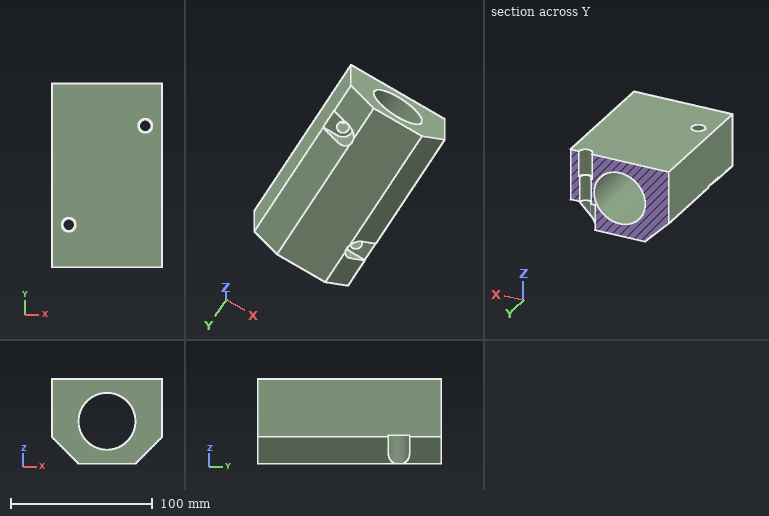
import cadquery as cq
import math

width = 78.0
length = 130.0
height = 60.0
lower_chamfer = 19.0
bore_diameter = 40.0

bolt_x = 27.0
bolt_y = 35.0
bolt_diameter = 8.6
thread_diameter = 10.0
thread_depth = 20.0
recess_width = 15.0
recess_depth = 20.0

top = height / 2
bottom = -height / 2


def vertical_cylinder(x, y, base, diameter, depth):
    """Cylinder rising from the level base."""
    return cq.Workplane("XY", origin=(x, y, base)).circle(diameter / 2).extrude(depth)


def bolt_hole(x, y):
    """Through hole, wider at the top, with a head recess below that is open to the nearest side."""
    shank = vertical_cylinder(x, y, bottom, bolt_diameter, height)
    thread = vertical_cylinder(x, y, top - thread_depth, thread_diameter, thread_depth)
    recess = vertical_cylinder(x, y, bottom, recess_width, recess_depth)
    side_x = math.copysign(width / 2, x)
    opening = (
        cq.Workplane("XY", origin=((x + side_x) / 2, y, bottom))
        .rect(abs(side_x - x), recess_width)
        .extrude(recess_depth)
    )
    return shank.union(thread).union(recess).union(opening)


block = cq.Workplane("XY").box(width, length, height)
block = block.edges("|Y and <Z").chamfer(lower_chamfer)
result = block.faces("<Y").workplane(centerOption="CenterOfBoundBox").hole(bore_diameter)

for side in (-1, 1):
    result = result.cut(bolt_hole(side * bolt_x, side * bolt_y))